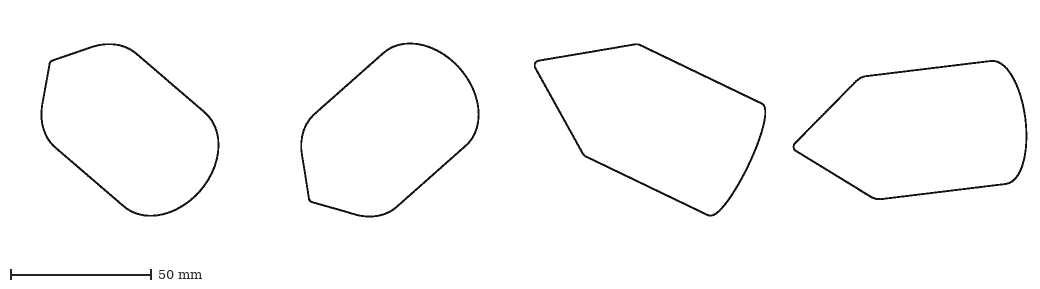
import cadquery as cq
import math

length = 81.6
body_diameter = 44.2
rear_face_diameter = 42.0
tip_radius = 1.8
shoulder_radius = 2.1
body_start = 31.5

body_radius = body_diameter / 2
rear_face_radius = rear_face_diameter / 2
rear_round = body_radius - rear_face_radius

tip_center = (tip_radius, 0)
shoulder_center = (body_start, body_radius - shoulder_radius)
rear_center = (length - rear_round, rear_face_radius)
center_step_x = shoulder_center[0] - tip_center[0]
center_step_r = shoulder_center[1] - tip_center[1]
center_distance = math.hypot(center_step_x, center_step_r)
cone_half_angle = math.atan2(center_step_r, center_step_x) + math.asin(
    (shoulder_radius - tip_radius) / center_distance
)


def arc_point(center, radius, angle):
    """Point on a profile circle; the angle is measured from +X towards the outside."""
    return (
        center[0] + radius * math.cos(angle),
        center[1] + radius * math.sin(angle),
    )


outward = math.pi / 2
cone_normal = cone_half_angle + outward
tip_mid_angle = (math.pi + cone_normal) / 2
shoulder_mid_angle = (cone_normal + outward) / 2
rear_mid_angle = outward / 2

half_profile = (
    cq.Workplane("XY")
    .moveTo(0, 0)
    .threePointArc(
        arc_point(tip_center, tip_radius, tip_mid_angle),
        arc_point(tip_center, tip_radius, cone_normal),
    )
    .lineTo(*arc_point(shoulder_center, shoulder_radius, cone_normal))
    .threePointArc(
        arc_point(shoulder_center, shoulder_radius, shoulder_mid_angle),
        (body_start, body_radius),
    )
    .lineTo(length - rear_round, body_radius)
    .threePointArc(
        arc_point(rear_center, rear_round, rear_mid_angle),
        (length, rear_face_radius),
    )
    .lineTo(length, 0)
    .close()
)

result = half_profile.revolve(360, (0, 0, 0), (1, 0, 0))